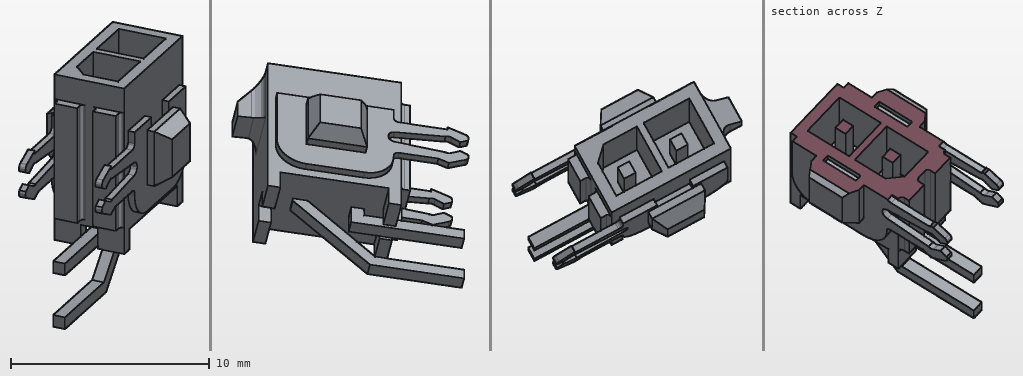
import cadquery as cq
import math


body_width = 3.9
body_depth = 6.86
body_height = 9.24
foot_height = 1.14
foot_thickness = 0.64
foot_slot_width = 0.97
half_width = body_width / 2

pitch = 3.0
socket_size = 2.62
socket_floor = 2.6
key_chamfer = 0.69
front_pin_y = (body_depth - pitch) / 2
rear_pin_y = front_pin_y + pitch
pin_size = 0.66
pin_tip_z = 6.7
pin_reach = 3.55
front_row_z = pin_size / 2
rear_row_z = front_row_z - pitch
rear_bend_z = 1.1
rear_bend_angle = math.radians(45)

rib_width = 1.28
rib_depth = 0.5
rib_offset = 1.08
rib_bottom = 1.46
rib_top = 7.87
rib_fillet = 0.19

latch_width = 1.42
latch_depth = 1.31
latch_bottom = 6.31
latch_root_z = 6.36
latch_face_top = 7.41
latch_side_radius = 0.6
latch_root_radius = 0.5

plate_thickness = 0.37
plate_front = 0.46
plate_back = 6.46
plate_bottom = 1.65
plate_top = 6.68
plate_corner_radius = 1.5
notch_back = 4.48
notch_front = 2.42
notch_floor = 5.6
fork_z = 4.65
fork_half_height = 1.15
fork_root_radius = 0.26
fork_slot_end = 0.74
fork_slot_half = 0.36
fork_slot_straight_y = 0.44
neck_start_y = -2.2
neck_start_half = 0.59
neck_y = -2.36
neck_half = 0.625
neck_end_y = -2.5
neck_end_half = 0.575
tip_inner_y = -2.96
slot_half_at_tip = 0.33
tip_y = -3.39
tip_half = 0.7
tip_inner_flank_y = -3.34
tip_inner_half = 0.53
tip_outer_flank_y = -3.22
tip_outer_half = 0.945
upper_barb_y = -2.3
upper_barb_half = 1.32
lower_barb_y = -2.37
lower_barb_half = 1.37
lower_barb_start_y = -1.83

head_size = 3.04
head_tip_size = 2.11
head_straight = 0.4
overall_width = 7.0

arc_inset = 1 - math.sqrt(0.5)


def box(x_range, y_range, z_range):
    """Box between the given limits along each axis."""
    size = [high - low for low, high in (x_range, y_range, z_range)]
    corner = (x_range[0], y_range[0], z_range[0])
    return cq.Workplane("XY").box(*size, centered=False).translate(corner)


def make_socket(center_y):
    return (
        cq.Workplane("XY", origin=(0, center_y, socket_floor))
        .rect(socket_size, socket_size)
        .extrude(body_height - socket_floor)
    )


def make_housing():
    across = (-half_width, half_width)
    housing = box(across, (0, body_depth), (0, body_height))
    gap_range = (foot_thickness, body_depth - foot_thickness)
    housing = housing.cut(box(across, gap_range, (0, foot_height)))
    slot_range = (-foot_slot_width / 2, foot_slot_width / 2)
    housing = housing.cut(box(slot_range, (0, body_depth), (0, foot_height)))
    key_edge = cq.selectors.NearestToPointSelector(
        (-socket_size / 2, front_pin_y - socket_size / 2, (socket_floor + body_height) / 2)
    )
    housing = housing.cut(make_socket(front_pin_y).edges(key_edge).chamfer(key_chamfer))
    return housing.cut(make_socket(rear_pin_y))


def make_rib(center_x):
    """Upright rib on the front face, with concave fillets along both sides of its root."""
    side = rib_width / 2
    root = side + rib_fillet
    root_mid = rib_fillet * arc_inset
    return (
        cq.Workplane("XY", origin=(center_x, 0, rib_bottom))
        .moveTo(-root, 0)
        .threePointArc((-side - root_mid, -root_mid), (-side, -rib_fillet))
        .lineTo(-side, -rib_depth)
        .lineTo(side, -rib_depth)
        .lineTo(side, -rib_fillet)
        .threePointArc((side + root_mid, -root_mid), (root, 0))
        .close()
        .extrude(rib_top - rib_bottom)
    )


def make_latch():
    """Ramp on the rear face: the side profile limited by a plan that flares at the root."""
    root_mid = latch_root_radius * arc_inset
    profile = (
        cq.Workplane("YZ", origin=(0, body_depth, 0))
        .moveTo(0, body_height)
        .lineTo(latch_depth, latch_face_top)
        .lineTo(latch_depth, latch_bottom)
        .lineTo(latch_root_radius, latch_root_z)
        .threePointArc((root_mid, latch_root_z - root_mid), (0, latch_root_z - latch_root_radius))
        .close()
        .extrude(half_width, both=True)
    )
    side = latch_width / 2
    flare = side + latch_side_radius
    flare_mid = latch_side_radius * arc_inset
    plan = (
        cq.Workplane("XY", origin=(0, body_depth, 0))
        .moveTo(-flare, 0)
        .threePointArc((-side - flare_mid, flare_mid), (-side, latch_side_radius))
        .lineTo(-side, latch_depth)
        .lineTo(side, latch_depth)
        .lineTo(side, latch_side_radius)
        .threePointArc((side + flare_mid, flare_mid), (flare, 0))
        .close()
        .extrude(body_height)
    )
    return profile.intersect(plan)


def make_pin(outline):
    return cq.Workplane("YZ").polyline(outline).close().extrude(pin_size / 2, both=True)


def make_front_pin():
    """Pin with a single square bend towards the board."""
    half = pin_size / 2
    return make_pin([
        (front_pin_y - half, pin_tip_z),
        (front_pin_y + half, pin_tip_z),
        (front_pin_y + half, front_row_z - half),
        (-pin_reach, front_row_z - half),
        (-pin_reach, front_row_z + half),
        (front_pin_y - half, front_row_z + half),
    ])


def make_rear_pin():
    """Pin with two 45 degree bends, mitred so its thickness stays constant."""
    half = pin_size / 2
    miter = half * math.tan(rear_bend_angle / 2)
    knee_y = rear_pin_y - (rear_bend_z - rear_row_z) * math.tan(rear_bend_angle)
    return make_pin([
        (rear_pin_y - half, pin_tip_z),
        (rear_pin_y + half, pin_tip_z),
        (rear_pin_y + half, rear_bend_z - miter),
        (knee_y + miter, rear_row_z - half),
        (-pin_reach, rear_row_z - half),
        (-pin_reach, rear_row_z + half),
        (knee_y - miter, rear_row_z + half),
        (rear_pin_y - half, rear_bend_z + miter),
    ])


def make_clip_plate():
    """Plate with the fork on its front edge, standing on the +X side of the housing."""
    corner_mid = plate_corner_radius * arc_inset
    root_mid = fork_root_radius * arc_inset
    fork_top = fork_z + fork_half_height
    fork_bottom = fork_z - fork_half_height
    root_y = plate_front - fork_root_radius
    return (
        cq.Workplane("YZ", origin=(half_width, 0, 0))
        .moveTo(plate_back, plate_top)
        .lineTo(notch_back, plate_top)
        .lineTo(notch_back, notch_floor)
        .lineTo(notch_front, notch_floor)
        .lineTo(notch_front, plate_top)
        .lineTo(plate_front, plate_top)
        .lineTo(plate_front, fork_top + fork_root_radius)
        .threePointArc((plate_front - root_mid, fork_top + root_mid), (root_y, fork_top))
        .lineTo(upper_barb_y, fork_top)
        .lineTo(upper_barb_y, fork_z + upper_barb_half)
        .lineTo(tip_outer_flank_y, fork_z + tip_outer_half)
        .threePointArc((tip_y, fork_z + tip_half), (tip_inner_flank_y, fork_z + tip_inner_half))
        .lineTo(tip_inner_y, fork_z + slot_half_at_tip)
        .lineTo(neck_end_y, fork_z + neck_end_half)
        .threePointArc((neck_y, fork_z + neck_half), (neck_start_y, fork_z + neck_start_half))
        .lineTo(fork_slot_straight_y, fork_z + fork_slot_half)
        .threePointArc((fork_slot_end, fork_z), (fork_slot_straight_y, fork_z - fork_slot_half))
        .lineTo(neck_start_y, fork_z - neck_start_half)
        .threePointArc((neck_y, fork_z - neck_half), (neck_end_y, fork_z - neck_end_half))
        .lineTo(tip_inner_y, fork_z - slot_half_at_tip)
        .lineTo(tip_inner_flank_y, fork_z - tip_inner_half)
        .threePointArc((tip_y, fork_z - tip_half), (tip_outer_flank_y, fork_z - tip_outer_half))
        .lineTo(lower_barb_y, fork_z - lower_barb_half)
        .lineTo(lower_barb_start_y, fork_bottom)
        .lineTo(root_y, fork_bottom)
        .threePointArc(
            (plate_front - root_mid, fork_bottom - root_mid),
            (plate_front, fork_bottom - fork_root_radius),
        )
        .lineTo(plate_front, plate_bottom + plate_corner_radius)
        .threePointArc(
            (plate_front + corner_mid, plate_bottom + corner_mid),
            (plate_front + plate_corner_radius, plate_bottom),
        )
        .lineTo(plate_back - plate_corner_radius, plate_bottom)
        .threePointArc(
            (plate_back - corner_mid, plate_bottom + corner_mid),
            (plate_back, plate_bottom + plate_corner_radius),
        )
        .close()
        .extrude(plate_thickness)
    )


def make_head():
    """Square head on the +X clip plate, tapering to a smaller square face."""
    plate_face = half_width + plate_thickness
    taper_start = plate_face + head_straight
    center_y = body_depth / 2
    base = (
        cq.Workplane("YZ", origin=(plate_face, center_y, fork_z))
        .rect(head_size, head_size)
        .extrude(head_straight)
    )
    taper = (
        cq.Workplane("YZ", origin=(taper_start, center_y, fork_z))
        .rect(head_size, head_size)
        .workplane(offset=overall_width / 2 - taper_start)
        .rect(head_tip_size, head_tip_size)
        .loft(ruled=True)
    )
    return base.union(taper)


result = make_housing().union(make_latch())
for rib_x in (-rib_offset, rib_offset):
    result = result.union(make_rib(rib_x))
result = result.union(make_front_pin()).union(make_rear_pin())
side_clip = make_clip_plate().union(make_head())
result = result.union(side_clip).union(side_clip.mirror("YZ"))